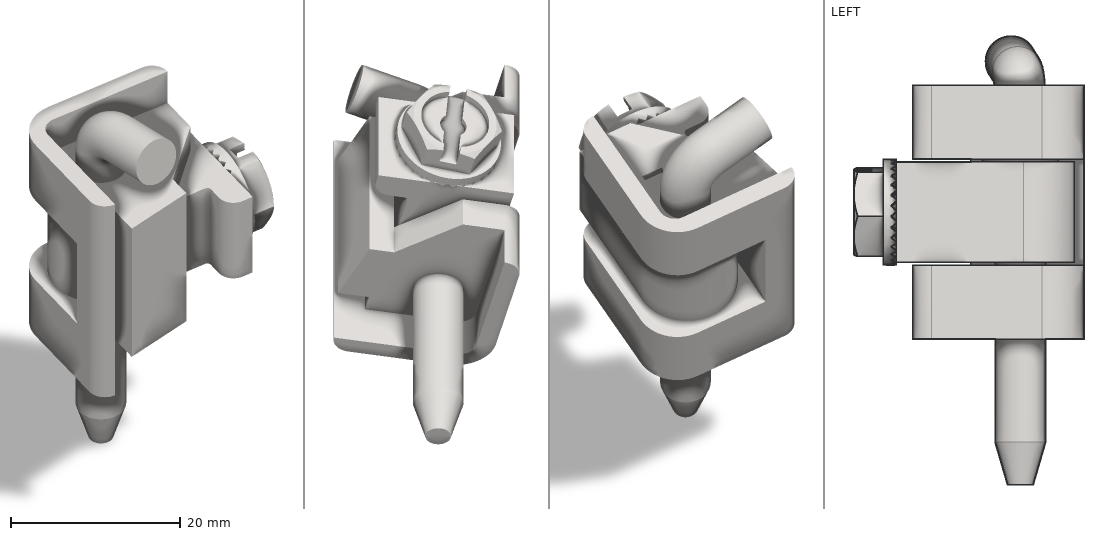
import cadquery as cq
import math


frame_height = 30.0
sheet_outer = 7.5
sheet_thickness = 2.2
sheet_inner = sheet_outer - sheet_thickness
sheet_right = 11.45
sheet_back = 12.7
sheet_outer_radius = 5.0
sheet_inner_radius = 2.0
sheet_end_radius = 2.15

block_setback = 4.95
block_top = frame_height - block_setback
block_shoulder_x = 9.55
block_shoulder_y = 5.9
panel_slot_x = 7.7
panel_slot_y = -2.95
frame_bore_diameter = 6.1

mid_z = frame_height / 2
gap_height = 12.5
gap_right = 6.55

notch_left = -2.85
notch_right = -0.25
notch_back = 5.3
notch_depth = 1.05
notch_floor_angle = 3.0

leaf_height = 11.85
leaf_bottom = mid_z - leaf_height / 2
knuckle_radius = 6.05
knuckle_y = -0.3
leaf_back = 14.7
lip_right = 10.35
lip_thickness = 3.45
lip_radius = 2.0
lip_root_radius = 0.5
collar_diameter = 9.0
collar_height = (gap_height - leaf_height) / 2
leaf_bore_diameter = 6.2

pin_diameter = 6.0
pin_radius = pin_diameter / 2
tip_diameter = 3.0
tip_z = -17.2
taper_length = 5.1
bend_start_z = 27.55
bend_radius = 4.15
bend_angle = 80.2
handle_length = 7.1
handle_azimuth = 6.3

screw_x = 2.1
flange_diameter = 12.5
flange_thickness = 1.55
head_height = 3.45
head_flats = 10.0
screw_turn = 5.0
head_chamfer_angle = 30.0
driver_slot_width = 2.0
driver_slot_depth = 2.1
recess_diameter = 8.2
recess_depth = 1.1
well_diameter = 3.2
tooth_count = 30
tooth_width = 1.05
tooth_depth = 0.6
tooth_length = 1.05


def round_upright_edge(body, x, y, radius):
    edge = cq.selectors.NearestToPointSelector((x, y, mid_z))
    return body.edges(edge).fillet(radius)


def make_sheet():
    sheet = (
        cq.Workplane("XY")
        .moveTo(sheet_right, -sheet_outer)
        .lineTo(-sheet_outer, -sheet_outer)
        .lineTo(-sheet_outer, sheet_back)
        .lineTo(-sheet_inner, sheet_back)
        .lineTo(-sheet_inner, -sheet_inner)
        .lineTo(sheet_right, -sheet_inner)
        .close()
        .extrude(frame_height)
    )
    sheet = round_upright_edge(sheet, -sheet_outer, -sheet_outer, sheet_outer_radius)
    sheet = round_upright_edge(sheet, -sheet_inner, -sheet_inner, sheet_inner_radius)
    sheet = round_upright_edge(sheet, -sheet_outer, sheet_back, sheet_end_radius)
    return round_upright_edge(sheet, sheet_right, -sheet_outer, sheet_end_radius)


def make_block():
    bevel_start_x = gap_right - (sheet_back - block_shoulder_y)
    return (
        cq.Workplane("XY", origin=(0, 0, block_setback))
        .moveTo(-sheet_inner, sheet_back)
        .lineTo(bevel_start_x, sheet_back)
        .lineTo(gap_right, block_shoulder_y)
        .lineTo(block_shoulder_x, block_shoulder_y)
        .lineTo(sheet_right, panel_slot_y)
        .lineTo(panel_slot_x, panel_slot_y)
        .lineTo(panel_slot_x, -sheet_inner)
        .lineTo(-sheet_inner, -sheet_inner)
        .close()
        .extrude(block_top - block_setback)
    )


def make_notch():
    floor_back_z = block_top - notch_depth
    floor_front_z = floor_back_z + notch_back * math.tan(math.radians(notch_floor_angle))
    return (
        cq.Workplane("YZ", origin=(notch_left, 0, 0))
        .polyline([
            (0, floor_front_z),
            (notch_back, floor_back_z),
            (notch_back, block_top),
            (0, block_top),
        ])
        .close()
        .extrude(notch_right - notch_left)
    )


def make_frame():
    gap_left = -sheet_outer
    gap_width = gap_right - gap_left
    gap_length = sheet_outer + sheet_back
    leaf_gap = cq.Workplane("XY").box(gap_width, gap_length, gap_height, centered=False)
    leaf_gap = leaf_gap.translate((gap_left, -sheet_outer, mid_z - gap_height / 2))
    pin_bore = cq.Workplane("XY").circle(frame_bore_diameter / 2).extrude(frame_height)
    frame = make_sheet().union(make_block())
    return frame.cut(leaf_gap).cut(pin_bore).cut(make_notch())


def make_leaf():
    lip_front = leaf_back - lip_thickness
    leaf = (
        cq.Workplane("XY", origin=(0, 0, leaf_bottom))
        .moveTo(-knuckle_radius, knuckle_y)
        .threePointArc((0, knuckle_y - knuckle_radius), (knuckle_radius, knuckle_y))
        .lineTo(knuckle_radius, lip_front)
        .lineTo(lip_right, lip_front)
        .lineTo(lip_right, leaf_back)
        .lineTo(-knuckle_radius, leaf_back)
        .close()
        .extrude(leaf_height)
    )
    leaf = round_upright_edge(leaf, lip_right, lip_front, lip_radius)
    leaf = round_upright_edge(leaf, knuckle_radius, lip_front, lip_root_radius)
    collar_z = leaf_bottom + leaf_height
    collar = cq.Workplane("XY", origin=(0, 0, collar_z)).circle(collar_diameter / 2).extrude(collar_height)
    pin_bore = cq.Workplane("XY").circle(leaf_bore_diameter / 2).extrude(frame_height)
    return leaf.union(collar).cut(pin_bore)


def make_pin():
    taper_top_z = tip_z + taper_length
    shank = (
        cq.Workplane("XZ")
        .moveTo(0, tip_z)
        .lineTo(tip_diameter / 2, tip_z)
        .lineTo(pin_radius, taper_top_z)
        .lineTo(pin_radius, bend_start_z)
        .lineTo(0, bend_start_z)
        .close()
        .revolve(360, (0, 0, 0), (0, 1, 0))
    )
    bend = (
        cq.Workplane("XY", origin=(0, 0, bend_start_z))
        .circle(pin_radius)
        .revolve(bend_angle, (bend_radius, 0, 0), (bend_radius, 1, 0))
    )
    angle = math.radians(bend_angle)
    bend_end = (bend_radius * (1 - math.cos(angle)), 0, bend_start_z + bend_radius * math.sin(angle))
    handle_direction = (math.sin(angle), 0, math.cos(angle))
    handle_plane = cq.Plane(origin=bend_end, xDir=(0, 1, 0), normal=handle_direction)
    handle = cq.Workplane(handle_plane).circle(pin_radius).extrude(handle_length)
    return shank.union(bend).union(handle).rotate((0, 0, 0), (0, 0, 1), handle_azimuth)


def make_serration():
    return (
        cq.Workplane("YZ", origin=(flange_diameter / 2 - tooth_length, 0, 0))
        .polyline([(-tooth_width / 2, 0), (tooth_width / 2, 0), (0, tooth_depth)])
        .close()
        .extrude(tooth_length * 2)
    )


def make_screw():
    head_top = flange_thickness + head_height
    head_corners = head_flats / math.cos(math.pi / 6)
    flange = cq.Workplane("XY").circle(flange_diameter / 2).extrude(flange_thickness)
    serration = make_serration()
    for index in range(tooth_count):
        flange = flange.cut(serration.rotate((0, 0, 0), (0, 0, 1), index * 360 / tooth_count))

    head = cq.Workplane("XY", origin=(0, 0, flange_thickness)).polygon(6, head_corners).extrude(head_height)
    chamfer_top_radius = head_flats / 2
    cone_drop = (head_corners - chamfer_top_radius) * math.tan(math.radians(head_chamfer_angle))
    chamfer_cone = (
        cq.Workplane("XZ")
        .moveTo(0, 0)
        .lineTo(head_corners, 0)
        .lineTo(head_corners, head_top - cone_drop)
        .lineTo(chamfer_top_radius, head_top)
        .lineTo(0, head_top)
        .close()
        .revolve(360, (0, 0, 0), (0, 1, 0))
    )
    head = head.intersect(chamfer_cone)
    driver_slot = (
        cq.Workplane("XY", origin=(0, 0, head_top - driver_slot_depth))
        .rect(driver_slot_width, head_corners)
        .extrude(driver_slot_depth)
    )
    head = head.cut(driver_slot)
    for diameter, depth in [(recess_diameter, recess_depth), (well_diameter, driver_slot_depth)]:
        pocket = cq.Workplane("XY", origin=(0, 0, head_top - depth)).circle(diameter / 2).extrude(depth)
        head = head.cut(pocket)
    screw = flange.union(head).rotate((0, 0, 0), (0, 0, 1), -screw_turn)
    screw = screw.rotate((0, 0, 0), (1, 0, 0), -90)
    return screw.translate((screw_x, leaf_back, mid_z))


frame = make_frame()
leaf = make_leaf()
pin = make_pin()
screw = make_screw()
result = cq.Compound.makeCompound([frame.val(), leaf.val(), pin.val(), screw.val()])